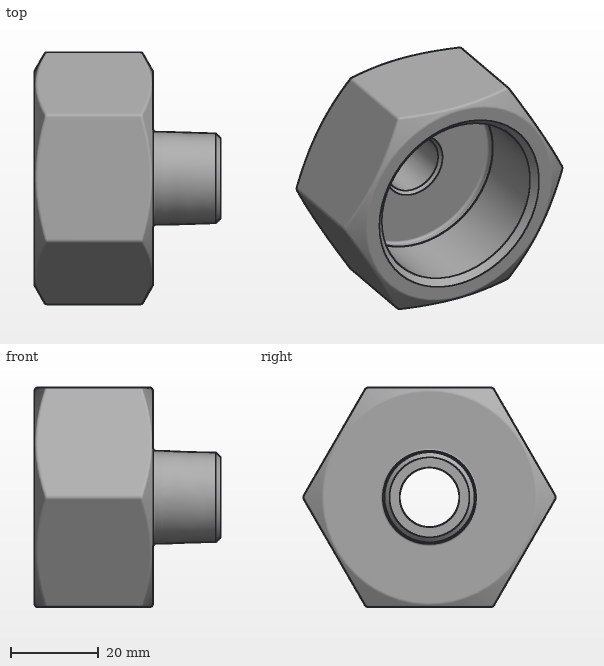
import cadquery as cq
import math

nut_length = 27.1
across_flats = 50.0
corner_diameter = across_flats / math.cos(math.radians(30))
edge_radius = 1.05
cone_edge_radius = 0.7
face_diameter = 48.6
envelope_clearance = 0.6
cone_angle = 30

total_length = 42.5
spigot_diameter = 21.25
spigot_straight_length = 2.2
thread_taper = 1 / 16
tip_chamfer = 1.15
root_fillet = 0.5

socket_diameter = 38.95
socket_mouth_diameter = 41.9
socket_depth = 20.6
relief_diameter = 39.15
relief_length = 2.0
floor_fillet = 0.6

hole_diameter = 13.5
hole_chamfer = 0.75


def turned_envelope():
    """Solid of revolution that cones off the hexagon corners, with its two end rims rounded."""
    face_radius = face_diameter / 2
    outer_radius = corner_diameter / 2 + envelope_clearance
    cone_depth = (outer_radius - face_radius) * math.tan(math.radians(cone_angle))
    sharp_envelope = (
        cq.Workplane("XY")
        .moveTo(0, 0)
        .lineTo(0, face_radius)
        .lineTo(cone_depth, outer_radius)
        .lineTo(nut_length - cone_depth, outer_radius)
        .lineTo(nut_length, face_radius)
        .lineTo(nut_length, 0)
        .close()
        .revolve(360, (0, 0, 0), (1, 0, 0))
    )
    end_rims = cq.selectors.RadiusNthSelector(0)
    return sharp_envelope.edges(end_rims).fillet(edge_radius)


def make_nut():
    """Hexagonal nut with flats facing +Z and -Z, coned at both ends and rounded on every outer edge."""
    prism = cq.Workplane("YZ").polygon(6, corner_diameter).extrude(nut_length)
    nut = prism.edges("|X").fillet(edge_radius).intersect(turned_envelope())
    cone_edges = [edge for edge in nut.edges().vals() if edge.geomType() not in ("LINE", "CIRCLE")]
    return nut.newObject(cone_edges).fillet(cone_edge_radius)


def make_spigot():
    """Concave root fillet, straight collar, tapered thread envelope and chamfered tip."""
    taper_start = nut_length + spigot_straight_length
    taper_end = total_length - tip_chamfer
    base_radius = spigot_diameter / 2
    tip_radius = base_radius - (taper_end - taper_start) * thread_taper / 2
    return (
        cq.Workplane("XY")
        .moveTo(nut_length, 0)
        .lineTo(nut_length, base_radius + root_fillet)
        .radiusArc((nut_length + root_fillet, base_radius), -root_fillet)
        .lineTo(taper_start, base_radius)
        .lineTo(taper_end, tip_radius)
        .lineTo(total_length, tip_radius - tip_chamfer)
        .lineTo(total_length, 0)
        .close()
        .revolve(360, (0, 0, 0), (1, 0, 0))
    )


def make_bore():
    """Chamfered socket with a relief and rounded floor corner, then the chamfered through hole."""
    socket_radius = socket_diameter / 2
    mouth_radius = socket_mouth_diameter / 2
    relief_radius = relief_diameter / 2
    hole_radius = hole_diameter / 2
    relief_start = socket_depth - relief_length
    return (
        cq.Workplane("XY")
        .moveTo(0, 0)
        .lineTo(0, mouth_radius)
        .lineTo(mouth_radius - socket_radius, socket_radius)
        .lineTo(relief_start, socket_radius)
        .lineTo(relief_start, relief_radius)
        .lineTo(socket_depth - floor_fillet, relief_radius)
        .radiusArc((socket_depth, relief_radius - floor_fillet), floor_fillet)
        .lineTo(socket_depth, hole_radius + hole_chamfer)
        .lineTo(socket_depth + hole_chamfer, hole_radius)
        .lineTo(total_length, hole_radius)
        .lineTo(total_length, 0)
        .close()
        .revolve(360, (0, 0, 0), (1, 0, 0))
    )


result = make_nut().union(make_spigot()).cut(make_bore())